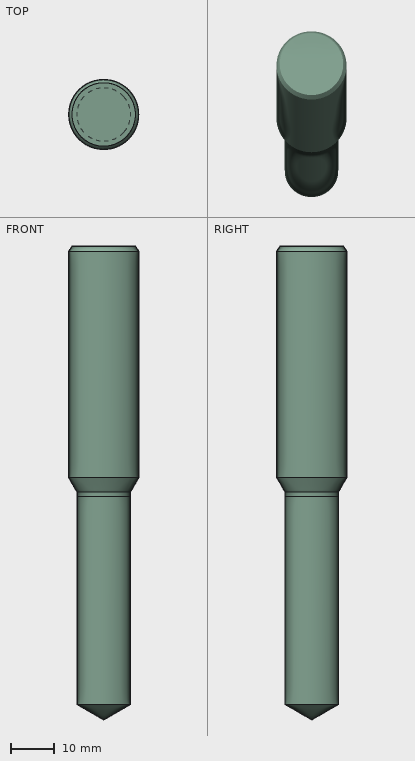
import cadquery as cq
import math

total_length = 108.0
shank_diameter = 16.0
cutter_diameter = 12.2
point_angle = 120.0
taper_half_angle = 30.0
cutter_length = 51.0
neck_length = 1.0
chamfer_height = 1.2
chamfer_width = 0.8

shank_radius = shank_diameter / 2
cutter_radius = cutter_diameter / 2
point_height = cutter_radius / math.tan(math.radians(point_angle / 2))
taper_bottom = cutter_length + neck_length
taper_height = (shank_radius - cutter_radius) / math.tan(math.radians(taper_half_angle))


def revolve_profile(points):
    """Revolve a closed (radius, height) outline about the Z axis."""
    return cq.Workplane("XZ").polyline(points).close().revolve(360, (0, 0), (0, 1))


def make_cutter():
    """Cylindrical cutting end with a conical point."""
    return revolve_profile([
        (0, 0),
        (cutter_radius, point_height),
        (cutter_radius, cutter_length),
        (0, cutter_length),
    ])


def make_shank():
    """Clamping shank with a short neck, a taper and a chamfered top."""
    return revolve_profile([
        (0, cutter_length),
        (cutter_radius, cutter_length),
        (cutter_radius, taper_bottom),
        (shank_radius, taper_bottom + taper_height),
        (shank_radius, total_length - chamfer_height),
        (shank_radius - chamfer_width, total_length),
        (0, total_length),
    ])


cutter = make_cutter()
shank = make_shank()

result = cq.Compound.makeCompound([cutter.val(), shank.val()])